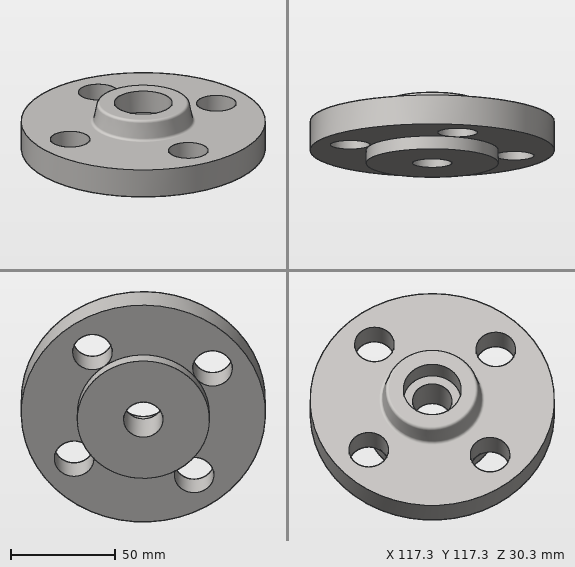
import cadquery as cq
import math

flange_diameter = 117.3
flange_thickness = 14.2
total_height = 30.3

raised_face_diameter = 63.5
raised_face_height = 6.3

hub_base_diameter = 48.1
hub_taper_degrees = 12.0
hub_fillet = 1.5
hub_height = total_height - raised_face_height - flange_thickness
hub_top_diameter = hub_base_diameter - 2 * hub_height * math.tan(math.radians(hub_taper_degrees))

bore_diameter = 18.9
socket_diameter = 27.8
socket_depth = 11.1

bolt_hole_count = 4
bolt_hole_diameter = 19.0
bolt_circle_diameter = 82.5

flange_bottom = raised_face_height
flange_top = flange_bottom + flange_thickness
socket_floor = total_height - socket_depth
level_tolerance = 0.1


def cylinder(diameter, bottom, height):
    """Upright cylinder on the Z axis, starting at the given level."""
    return cq.Workplane("XY", origin=(0, 0, bottom)).circle(diameter / 2).extrude(height)


def make_hub():
    """Cone frustum standing on the flange."""
    return (
        cq.Workplane("XZ")
        .moveTo(0, flange_top)
        .lineTo(hub_base_diameter / 2, flange_top)
        .lineTo(hub_top_diameter / 2, total_height)
        .lineTo(0, total_height)
        .close()
        .revolve(360, (0, 0), (0, 1))
    )


def make_blank():
    """Raised face, flange and hub, with the hub rounded at its foot and rim."""
    raised_face = cylinder(raised_face_diameter, 0, raised_face_height)
    flange = cylinder(flange_diameter, flange_bottom, flange_thickness)
    blank = raised_face.union(flange).union(make_hub())
    flange_top_edges = cq.selectors.BoxSelector(
        (-flange_diameter, -flange_diameter, flange_top - level_tolerance),
        (flange_diameter, flange_diameter, flange_top + level_tolerance),
    )
    hub_foot = cq.selectors.RadiusNthSelector(0)
    blank = blank.faces(">Z").edges().fillet(hub_fillet)
    return blank.edges(flange_top_edges).edges(hub_foot).fillet(hub_fillet)


def make_bolt_holes():
    """Pins that cut the bolt holes through the flange."""
    return (
        cq.Workplane("XY", origin=(0, 0, flange_bottom))
        .polarArray(bolt_circle_diameter / 2, 0, 360, bolt_hole_count)
        .circle(bolt_hole_diameter / 2)
        .extrude(flange_thickness)
    )


bore = cylinder(bore_diameter, 0, total_height)
socket = cylinder(socket_diameter, socket_floor, socket_depth)

result = make_blank().cut(bore).cut(socket).cut(make_bolt_holes())